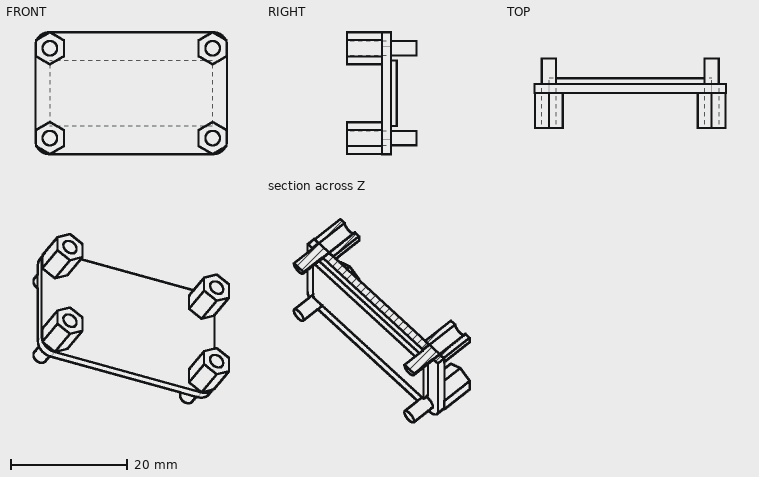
import cadquery as cq
import math

BOARD_LENGTH = 33.02
BOARD_HEIGHT = 21.05
BOARD_THICKNESS = 1.6
CORNER_RADIUS = 2.5

PANEL_HEIGHT = 11.3
PANEL_THICKNESS = 1.0

HEX_ACROSS_FLATS = 4.8
HEX_ACROSS_CORNERS = HEX_ACROSS_FLATS / math.cos(math.pi / 6)
STANDOFF_LENGTH = 6.0

STUD_DIAMETER = 2.5
STUD_PROJECTION = 4.4

AXIS_X = BOARD_LENGTH / 2 - CORNER_RADIUS
AXIS_Z = 7.73
AXES = [(x, z) for x in (-AXIS_X, AXIS_X) for z in (-AXIS_Z, AXIS_Z)]

PANEL_LENGTH = 2 * AXIS_X

BOARD_BACK = BOARD_THICKNESS
STUD_BACK = BOARD_BACK + STUD_PROJECTION


def plane_at(y):
    """Plane facing +Y at the given y; its local x is Z and its local y is X."""
    return cq.Workplane(cq.Plane(origin=(0, y, 0), xDir=(0, 0, 1), normal=(0, 1, 0)))


def rod(x, z, y_start, y_end, diameter):
    """Cylinder along Y on the axis through (x, z)."""
    return plane_at(y_start).center(z, x).circle(diameter / 2).extrude(y_end - y_start)


def make_board():
    """Rounded board with its raised back panel and four stud holes."""
    board = plane_at(0).rect(BOARD_HEIGHT, BOARD_LENGTH).extrude(BOARD_THICKNESS)
    board = board.edges("|Y").fillet(CORNER_RADIUS)
    panel = plane_at(BOARD_BACK).rect(PANEL_HEIGHT, PANEL_LENGTH).extrude(PANEL_THICKNESS)
    board = board.union(panel)
    for x, z in AXES:
        board = board.cut(rod(x, z, 0, STUD_BACK, STUD_DIAMETER))
    return board


def make_standoff(x, z):
    """Hexagonal standoff with a bore along its full length."""
    prism = (
        plane_at(-STANDOFF_LENGTH)
        .center(z, x)
        .polygon(6, HEX_ACROSS_CORNERS)
        .extrude(STANDOFF_LENGTH)
    )
    return prism.cut(rod(x, z, -STANDOFF_LENGTH, 0, STUD_DIAMETER))


def make_stud(x, z):
    """Plain stud from the front face of the board to beyond its back."""
    return rod(x, z, 0, STUD_BACK, STUD_DIAMETER)


board = make_board()
standoffs = [make_standoff(x, z).val() for x, z in AXES]
studs = [make_stud(x, z).val() for x, z in AXES]

result = cq.Compound.makeCompound([board.val(), *standoffs, *studs])